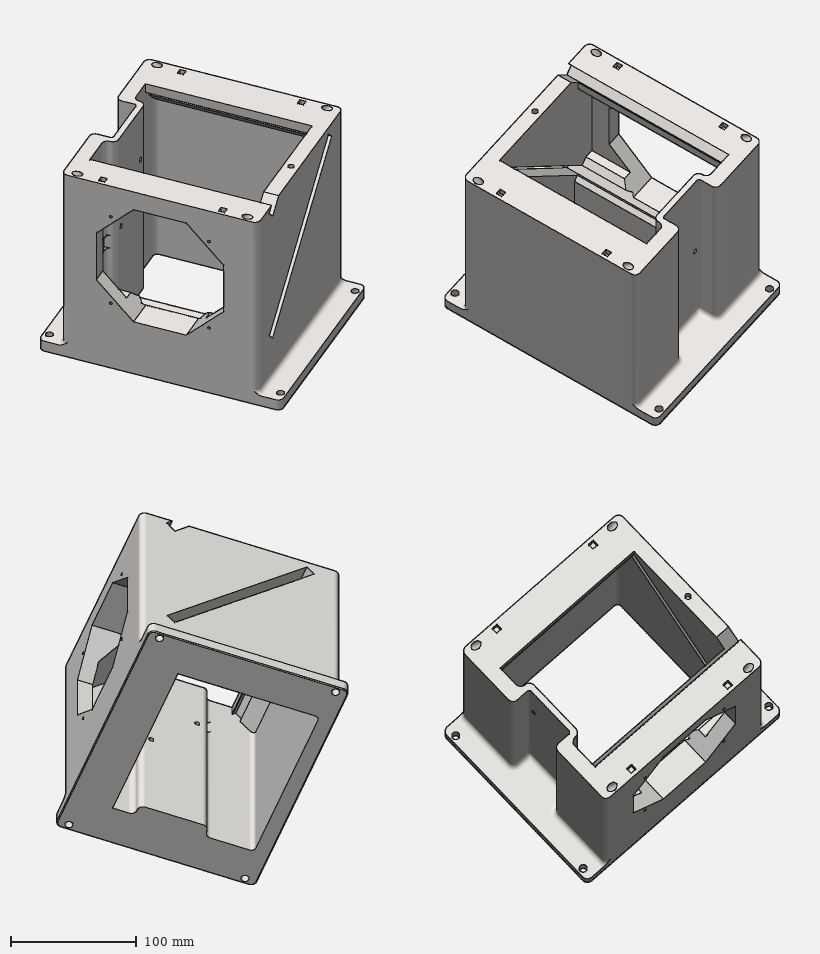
import cadquery as cq
import math

BASE_LENGTH = 210.0
DEPTH = 170.0
HEIGHT = 179.1
BASE_THICKNESS = 10.5
BASE_CHAMFER = 0.8
BODY_WIDTH = DEPTH
CORNER_RADIUS = 5.0
FOOT_RADIUS = 4.5

WALL = 13.0
CAVITY_HALF = BODY_WIDTH / 2 - WALL
CAVITY_CORNER_RADIUS = 3.8
TOP_OPENING_HALF_DEPTH = 53.1
BACK_LIP_HEIGHT = 8.5
FRONT_LIP_HEIGHT = 17.2
SILL_FACE_Y = -48.5
SILL_EDGE_Z = 47.7
SILL_TOP_Z = 63.2

MIRROR_ANGLE = 45.0
MIRROR_CENTER_Z = 110.2
MIRROR_LENGTH = 168.0
MIRROR_SLOT = 8.8

GROOVE_OFFSET = 79.8
GROOVE_WIDTH = 10.0
GROOVE_START = 0.6
GROOVE_LENGTH = 25.2

RECESS_HALF_WIDTH = 24.4
RECESS_FLOOR_X = -67.0
RECESS_WALL = 5.2
RECESS_INNER_RADIUS = 2.0
RECESS_BULGE_RADIUS = 5.0
RECESS_JUNCTION_RADIUS = 5.0

WINDOW_WIDTH = 110.0
WINDOW_CENTER_Z = 106.7

BASE_HOLE_DIAMETER = 6.3
BASE_HOLE_X = 100.0
BASE_HOLE_Y = 75.0
WINDOW_SCREW_DIAMETER = 2.0
WINDOW_SCREW_OFFSET = 42.5
WINDOW_SCREW_DEPTH = 8.5
ADJUSTER_DIAMETER = 4.0
ADJUSTER_OFFSET = 19.5
RIM_HOLE_DIAMETER = 5.0
RIM_HOLE_X = 78.3
RIM_HOLE_Y = -3.5
RIM_HOLE_DEPTH = 8.5
SLANT_HOLE_DIAMETER = 6.3
SLANT_HOLE_X = 73.5
SLANT_HOLE_Y = 80.0
SLANT_HOLE_DEPTH = 12.5
POCKET_SIDE = 5.2
POCKET_X = 51.9
POCKET_Y = 79.2
POCKET_DEPTH = 5.2

LEFT_X = -BODY_WIDTH / 2


def box(x_range, y_range, z_range):
    """Box between two limits along each axis."""
    sizes = [high - low for low, high in (x_range, y_range, z_range)]
    corner = (x_range[0], y_range[0], z_range[0])
    return cq.Workplane("XY").box(*sizes, centered=False).translate(corner)


def recess_cut():
    """Channel removed from the -X wall above the base flange."""
    channel = box(
        (LEFT_X - FOOT_RADIUS, RECESS_FLOOR_X),
        (-RECESS_HALF_WIDTH, RECESS_HALF_WIDTH),
        (BASE_THICKNESS, HEIGHT),
    )
    return channel.edges("|Z and >X").fillet(RECESS_INNER_RADIUS)


def solid_body():
    """Flanged block with the -X recess, before the inside is cut."""
    tower = cq.Workplane("XY").box(BODY_WIDTH, DEPTH, HEIGHT - BASE_THICKNESS, centered=(True, True, False))
    tower = tower.translate((0, 0, BASE_THICKNESS)).cut(recess_cut())
    tower = tower.edges("|Z").edges("<X or >X").fillet(CORNER_RADIUS)

    plate_depth = DEPTH + 4 * FOOT_RADIUS
    plate = cq.Workplane("XY").box(BASE_LENGTH, plate_depth, BASE_THICKNESS, centered=(True, True, False))
    foot_level = BASE_THICKNESS
    foot = cq.selectors.BoxSelector(
        (-BODY_WIDTH / 2 - 2, -DEPTH / 2 - 2, foot_level - 0.2),
        (BODY_WIDTH / 2 + 2, DEPTH / 2 + 2, foot_level + 0.2),
    )
    body = plate.union(tower).edges(foot).fillet(FOOT_RADIUS)

    outline = cq.Workplane("XY").box(BASE_LENGTH, DEPTH, HEIGHT, centered=(True, True, False))
    outline = outline.edges("|Z").fillet(CORNER_RADIUS).faces("<Z").chamfer(BASE_CHAMFER)
    return body.intersect(outline)


def cavity():
    """Inside of the box: its section along Y and Z, run between the two side walls."""
    front_lip_z = HEIGHT - FRONT_LIP_HEIGHT
    back_lip_z = HEIGHT - BACK_LIP_HEIGHT
    overhang = CAVITY_HALF - TOP_OPENING_HALF_DEPTH

    section = (
        cq.Workplane("YZ")
        .moveTo(SILL_FACE_Y, 0)
        .lineTo(SILL_FACE_Y, SILL_EDGE_Z)
        .lineTo(SILL_FACE_Y - (SILL_TOP_Z - SILL_EDGE_Z), SILL_TOP_Z)
        .lineTo(-CAVITY_HALF, SILL_TOP_Z)
        .lineTo(-CAVITY_HALF, front_lip_z - overhang)
        .lineTo(-TOP_OPENING_HALF_DEPTH, front_lip_z)
        .lineTo(-TOP_OPENING_HALF_DEPTH, HEIGHT)
        .lineTo(TOP_OPENING_HALF_DEPTH, HEIGHT)
        .lineTo(TOP_OPENING_HALF_DEPTH, back_lip_z)
        .lineTo(CAVITY_HALF, back_lip_z - overhang)
        .lineTo(CAVITY_HALF, 0)
        .close()
        .extrude(CAVITY_HALF, both=True)
    )
    back_corners = cq.selectors.BoxSelector(
        (-BODY_WIDTH, CAVITY_HALF - 0.2, 0), (BODY_WIDTH, CAVITY_HALF + 0.2, HEIGHT)
    )
    return section.edges("|Z").edges(back_corners).fillet(CAVITY_CORNER_RADIUS)


def recess_bulge():
    """Block that carries the recess into the cavity; the recess channel leaves it one wall thick."""
    half_width = RECESS_HALF_WIDTH + RECESS_WALL
    inner_x = RECESS_FLOOR_X + RECESS_WALL
    bulge = box((-CAVITY_HALF - WALL / 2, inner_x), (-half_width, half_width), (0, HEIGHT))
    return bulge.edges("|Z and >X").fillet(RECESS_BULGE_RADIUS)


def slanted_slot(start, length, offset, thickness):
    """Slot parallel to the mirror, open through the +X wall.

    It starts `start` along the slope from the mirror centre and lies `offset` above the mirror plane.
    """
    slot = box(
        (-CAVITY_HALF, BODY_WIDTH / 2 + 2),
        (start, start + length),
        (offset, offset + thickness),
    )
    return slot.rotate((0, 0, 0), (1, 0, 0), MIRROR_ANGLE).translate((0, 0, MIRROR_CENTER_Z))


def window():
    """Octagonal prism through the front wall and the sill behind it."""
    circumscribed = WINDOW_WIDTH / math.cos(math.pi / 8)
    prism = cq.Workplane("XZ").polygon(8, circumscribed).extrude(DEPTH / 2)
    return prism.rotate((0, 0, 0), (0, 1, 0), 22.5).translate((0, 0, WINDOW_CENTER_Z))


def drill(start, direction, diameter, depth):
    """Round hole from a start point along a direction."""
    return cq.Workplane(cq.Solid.makeCylinder(diameter / 2, depth, cq.Vector(*start), cq.Vector(*direction)))


def inside():
    """Everything removed from inside the box: cavity and mirror slots, less the recess bulge."""
    bulge = recess_bulge()
    bulge_half_width = RECESS_HALF_WIDTH + RECESS_WALL
    junctions = cq.selectors.BoxSelector(
        (-CAVITY_HALF - 0.2, -bulge_half_width - 0.2, 0),
        (-CAVITY_HALF + 0.2, bulge_half_width + 0.2, HEIGHT),
    )
    room = cavity().cut(bulge).edges("|Z").edges(junctions).fillet(RECESS_JUNCTION_RADIUS)
    mirror_slot = slanted_slot(-MIRROR_LENGTH / 2, MIRROR_LENGTH, -MIRROR_SLOT / 2, MIRROR_SLOT)
    groove = slanted_slot(GROOVE_START, GROOVE_LENGTH, GROOVE_OFFSET, GROOVE_WIDTH)
    return room.union(mirror_slot.cut(bulge)).union(groove)


def base_hole(side_x, side_y):
    start = (side_x * BASE_HOLE_X, side_y * BASE_HOLE_Y, 0)
    return drill(start, (0, 0, 1), BASE_HOLE_DIAMETER, BASE_THICKNESS)


def slanted_hole(side_x, side_y):
    """Hole at 45 degrees, sloping down towards the middle; it starts above the rim for a full mouth."""
    rise = SLANT_HOLE_DIAMETER
    start = (side_x * (SLANT_HOLE_X + rise), side_y * SLANT_HOLE_Y, HEIGHT + rise)
    return drill(start, (-side_x, 0, -1), SLANT_HOLE_DIAMETER, SLANT_HOLE_DEPTH + rise * math.sqrt(2))


def rim_pocket(side_x, side_y):
    """Square blind pocket in the top rim."""
    pocket = cq.Workplane("XY").box(POCKET_SIDE, POCKET_SIDE, 2 * POCKET_DEPTH)
    return pocket.translate((side_x * POCKET_X, side_y * POCKET_Y, HEIGHT))


def window_screw_hole(side_x, side_z):
    start = (side_x * WINDOW_SCREW_OFFSET, -DEPTH / 2, WINDOW_CENTER_Z + side_z * WINDOW_SCREW_OFFSET)
    return drill(start, (0, 1, 0), WINDOW_SCREW_DIAMETER, WINDOW_SCREW_DEPTH)


def adjuster_hole(side):
    """Hole through the recess floor, in line with the mirror."""
    start = (RECESS_FLOOR_X, side * ADJUSTER_OFFSET, MIRROR_CENTER_Z + side * ADJUSTER_OFFSET)
    return drill(start, (1, 0, 0), ADJUSTER_DIAMETER, RECESS_WALL)


def rim_hole():
    return drill((RIM_HOLE_X, RIM_HOLE_Y, HEIGHT), (0, 0, -1), RIM_HOLE_DIAMETER, RIM_HOLE_DEPTH)


body = solid_body().cut(inside()).cut(window()).cut(rim_hole())

for first_side in (-1, 1):
    body = body.cut(adjuster_hole(first_side))
    for second_side in (-1, 1):
        for feature in (base_hole, slanted_hole, rim_pocket, window_screw_hole):
            body = body.cut(feature(first_side, second_side))

result = body